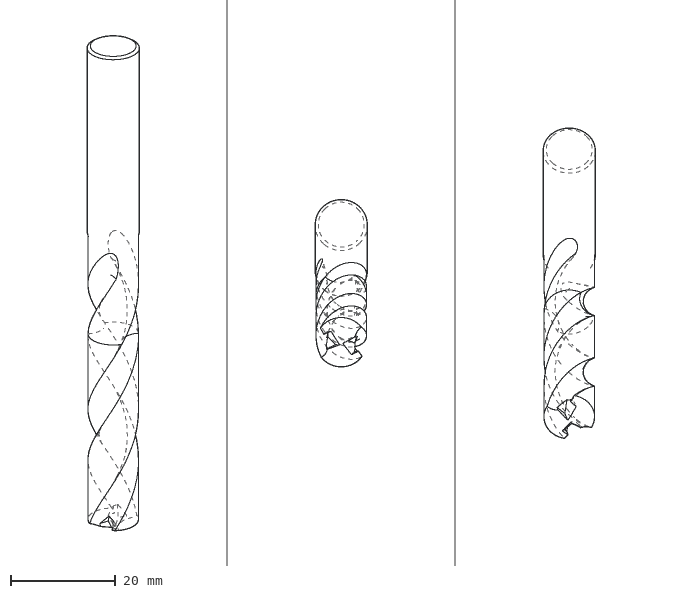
import cadquery as cq
import math

total_length = 103.0
shank_diameter = 10.0
drill_diameter = 9.7
shank_start = 63.2
step_height = 0.5
joint_height = 41.5
top_chamfer_width = 0.6
top_chamfer_height = 0.4
point_angle = 140.0

core_radius = 2.7
flute_width_angle = 72.0
flute_start_angle = -79.0
flute_count = 2
flute_pitch = 53.4
flute_end = 55.5
runout_height = 12.4
runout_sideways = 0.64
runout_outward = 0.25

notch_width = 2.9
notch_peak_width = 2.0
notch_peak_height = 4.1
notch_side_height = 2.3
notch_back = 0.3
notch_peak_back = 2.3

shank_radius = shank_diameter / 2
drill_radius = drill_diameter / 2
point_height = drill_radius / math.tan(math.radians(point_angle / 2))
flute_twist = 360 * flute_end / flute_pitch

half_width_angle = math.radians(flute_width_angle / 2)
flute_half_chord = drill_radius * math.sin(half_width_angle)
flute_depth = drill_radius * math.cos(half_width_angle) - core_radius
flute_radius = (flute_half_chord**2 + flute_depth**2) / (2 * flute_depth)
flute_offset = core_radius + flute_radius


def make_blank():
    """Turned outline of the whole tool, with the pointed tip at the origin."""
    return (
        cq.Workplane("XZ")
        .moveTo(0, 0)
        .lineTo(drill_radius, point_height)
        .lineTo(drill_radius, shank_start - step_height)
        .lineTo(shank_radius, shank_start)
        .lineTo(shank_radius, total_length - top_chamfer_height)
        .lineTo(shank_radius - top_chamfer_width, total_length)
        .lineTo(0, total_length)
        .close()
        .revolve(360, (0, 0, 0), (0, 1, 0))
    )


def make_winding():
    """Helical part of one flute, starting on the +X side."""
    section = cq.Workplane("XY").moveTo(flute_offset, 0).circle(flute_radius)
    return section.twistExtrude(flute_end, flute_twist)


def make_runout():
    """Straight end of one flute, leaving the drill sideways and outward."""
    travel = cq.Vector(runout_outward, runout_sideways, 1) * runout_height
    section = cq.Wire.makeCircle(flute_radius, cq.Vector(flute_offset, 0, flute_end), cq.Vector(0, 0, 1))
    runout = cq.Solid.extrudeLinear(section, [], travel)
    return cq.Workplane(runout).rotate((0, 0, 0), (0, 0, 1), flute_twist)


def cut_flutes(blank):
    for index in range(flute_count):
        angle = flute_start_angle + index * 360 / flute_count
        for cutter in (make_winding(), make_runout()):
            blank = blank.cut(cutter.rotate((0, 0, 0), (0, 0, 1), angle))
    return blank


def make_web_notch():
    """Peaked notch on the -Y side whose back leans toward the axis at the tip."""
    front_shape = (
        cq.Workplane("XZ")
        .polyline([
            (0, 0),
            (0, point_height),
            (notch_peak_width, notch_peak_height),
            (notch_width, notch_side_height),
            (notch_width, 0),
        ])
        .close()
        .extrude(drill_diameter)
    )
    side_shape = (
        cq.Workplane("YZ")
        .polyline([
            (-notch_back, 0),
            (-notch_peak_back, notch_peak_height),
            (-drill_diameter, notch_peak_height),
            (-drill_diameter, 0),
        ])
        .close()
        .extrude(notch_width)
    )
    return front_shape.intersect(side_shape)


def cut_web_notches(tool):
    for index in range(flute_count):
        tool = tool.cut(make_web_notch().rotate((0, 0, 0), (0, 0, 1), index * 360 / flute_count))
    return tool


def make_head_zone():
    """Space below the joint, wide enough to hold the whole head."""
    return cq.Workplane("XY").circle(shank_diameter).extrude(joint_height)


tool = cut_web_notches(cut_flutes(make_blank()))
head = tool.intersect(make_head_zone())
holder = tool.cut(make_head_zone())

result = cq.Compound.makeCompound([head.val(), holder.val()])